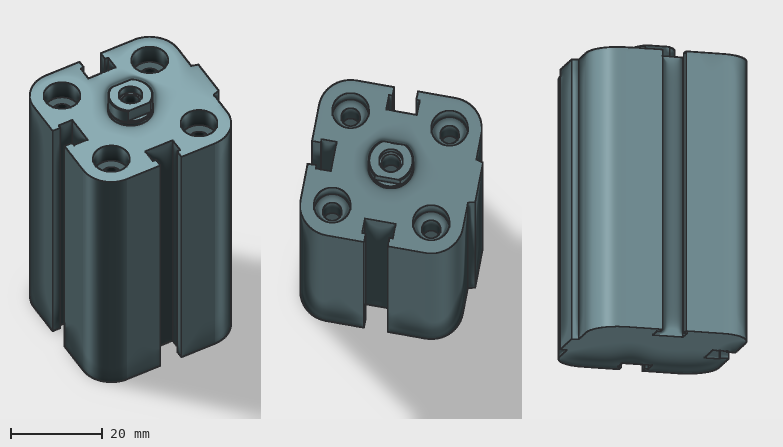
import cadquery as cq
import math

total_height = 67.5
rod_projection = 4.5
housing_height = total_height - rod_projection
width = 36.0
half_width = width / 2

bore_depth = 12.5

corner_radius = 7.0
hole_spacing = width - 2 * corner_radius
hole_diameter = 4.1
counterbore_diameter = 8.0
counterbore_depth = 4.8

rail_height = 1.55
rail_base_width = 10.0
rail_flank_angle = 15.0

slot_mouth_width = 5.25
slot_inner_width = 6.8
slot_depth = 5.3
slot_lip = 1.95

rod_diameter = 10.0
rod_tip_diameter = 9.8
rod_top_chamfer = 0.2
collar_height = 0.95
flat_spacing = 8.0
flat_height = 3.1
rod_bore_diameter = 4.1
rod_bore_depth = 10.0
rod_recess_diameter = 5.2
rod_recess_depth = 2.0


def make_profile_block():
    """Square column with rounded vertical corners."""
    return (
        cq.Workplane("XY")
        .rect(width, width)
        .extrude(housing_height)
        .edges("|Z")
        .fillet(corner_radius)
    )


def make_rail():
    """Full-height rail with sloping flanks on the +Y side."""
    half_base = rail_base_width / 2
    half_top = half_base - rail_height * math.tan(math.radians(rail_flank_angle))
    return (
        cq.Workplane("XY")
        .moveTo(-half_base, half_width)
        .lineTo(-half_top, half_width + rail_height)
        .lineTo(half_top, half_width + rail_height)
        .lineTo(half_base, half_width)
        .lineTo(half_base, 0)
        .lineTo(-half_base, 0)
        .close()
        .extrude(housing_height)
    )


def make_t_slot(angle):
    """Full-height T-slot cutter for the -Y side, turned about Z by angle."""
    floor_y = slot_depth - half_width
    lip_y = slot_lip - half_width
    mouth = (
        cq.Workplane("XY")
        .center(0, (floor_y - half_width) / 2)
        .rect(slot_mouth_width, slot_depth)
        .extrude(housing_height)
    )
    inner = (
        cq.Workplane("XY")
        .center(0, (floor_y + lip_y) / 2)
        .rect(slot_inner_width, slot_depth - slot_lip)
        .extrude(housing_height)
    )
    return mouth.union(inner).rotate((0, 0, 0), (0, 0, 1), angle)


def make_housing():
    housing = make_profile_block().union(make_rail())
    for angle in (-90, 0, 90):
        housing = housing.cut(make_t_slot(angle))

    housing = (
        housing.faces(">Z")
        .workplane(origin=(0, 0, housing_height))
        .rect(hole_spacing, hole_spacing, forConstruction=True)
        .vertices()
        .cboreHole(hole_diameter, counterbore_diameter, counterbore_depth, bore_depth)
    )

    return (
        housing.faces(">Z")
        .workplane(origin=(0, 0, housing_height))
        .circle(rod_diameter / 2)
        .cutBlind(-bore_depth)
    )


def make_rod():
    shaft = (
        cq.Workplane("XY", origin=(0, 0, housing_height - bore_depth))
        .circle(rod_diameter / 2)
        .extrude(bore_depth + collar_height)
        .faces(">Z")
        .chamfer((rod_diameter - rod_tip_diameter) / 2)
    )
    tip = (
        cq.Workplane("XY", origin=(0, 0, housing_height + collar_height))
        .circle(rod_tip_diameter / 2)
        .extrude(rod_projection - collar_height)
        .faces(">Z")
        .chamfer(rod_top_chamfer)
    )
    rod = shaft.union(tip)

    for side in (-1, 1):
        flat_cutter = (
            cq.Workplane("XY", origin=(0, 0, total_height - flat_height))
            .center(side * (flat_spacing + rod_diameter) / 2, 0)
            .rect(rod_diameter, 2 * rod_diameter)
            .extrude(flat_height)
        )
        rod = rod.cut(flat_cutter)

    return (
        rod.faces(">Z")
        .workplane(origin=(0, 0, total_height))
        .cboreHole(rod_bore_diameter, rod_recess_diameter, rod_recess_depth, rod_bore_depth)
    )


housing = make_housing()
rod = make_rod()
result = cq.Compound.makeCompound([housing.val(), rod.val()])